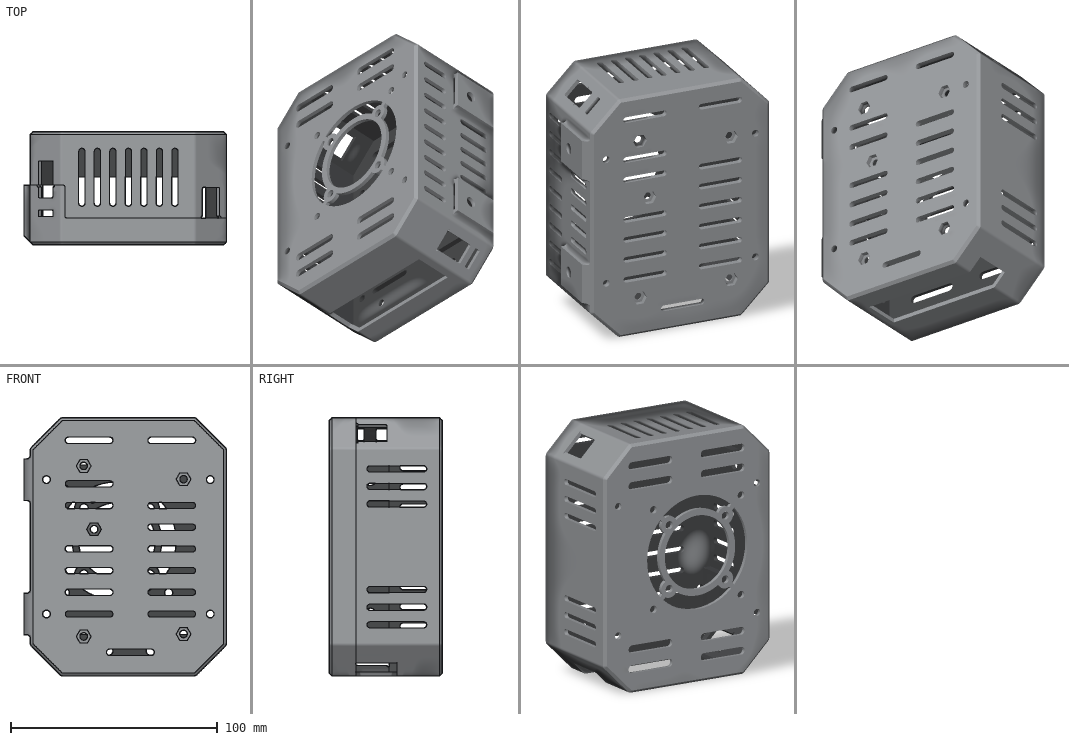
import cadquery as cq
import math

WIDTH = 95.0
HEIGHT = 125.0
DEPTH = 54.8
CORNER = 15.0
CORNER_ROUND = 2.0
WALL = 2.0
FRONT_PLATE = 3.0
EDGE_CHAMFER = 1.4
FRONT = -DEPTH / 2
BACK = DEPTH / 2
LEFT = -WIDTH / 2
RIGHT = WIDTH / 2
BOTTOM = -HEIGHT / 2
TOP = HEIGHT / 2
CORNER_MID_X = RIGHT - CORNER / 2
CORNER_MID_Z = TOP - CORNER / 2

SPLIT_Y = FRONT + 13.0
WING_Y = FRONT + 29.0
WING_EDGE_X = -30.7
WING_ROUND = 1.0

EAR_OUT = 3.0
EAR_LENGTH = 20.2
EAR_Z = 32.5
EAR_ROUND = 1.6
EAR_HOLE_DIAMETER = 5.6
EAR_HOLE_Y = -7.5
EAR_WALL = 2.0
EAR_INNER_X = -41.4
EAR_POCKET_FRONT_Y = FRONT + 6.0

SLOT_WIDTH = 3.0
FRONT_SLOT_LENGTH = 23.0
FRONT_SLOT_PITCH = 10.5
FRONT_SLOT_TOP_Z = 51.5
FRONT_LEFT_SLOT_X = -19.0
FRONT_RIGHT_SLOT_X = 21.0
FRONT_LEFT_ROWS = (0, 2, 3, 5, 6, 7, 8)
FRONT_RIGHT_ROWS = (0, 3, 4, 5, 6, 7, 8)
LOW_SLOT_X = 1.0
LOW_SLOT_Z = -51.0
BASE_SIDE_SLOT_COUNT = 5
BASE_SIDE_SLOT_PITCH = 8.55
BASE_SIDE_SLOT_LENGTH = 18.3
BASE_SIDE_SLOT_Y = -12.4
COVER_LEFT_SLOT_COUNT = 9
COVER_LEFT_SLOT_PITCH = 9.6
COVER_LEFT_SLOT_LENGTH = 15.0
COVER_LEFT_SLOT_Y = 14.4
COVER_RIGHT_SLOT_PITCH = 8.5
COVER_RIGHT_SLOT_LENGTH = 28.8
COVER_RIGHT_SLOT_Y = 5.35
COVER_RIGHT_GROUP_COUNT = 3
COVER_RIGHT_GROUP_Z = 29.2
COVER_TOP_SLOT_COUNT = 7
COVER_TOP_SLOT_PITCH = 7.5
COVER_TOP_SLOT_LENGTH = 28.0
COVER_TOP_SLOT_Y = 5.4
BACK_SLOT_LENGTH = 25.0
BACK_SLOT_LEFT_X = -20.0
BACK_SLOT_RIGHT_X = 21.2
BACK_SLOT_WIDTH = 4.0
BACK_SLOT_ROWS = (51.6, 41.6, -40.4, -50.4)

PLATE_HOLE_DIAMETER = 3.6
PLATE_HOLE_X = 39.6
PLATE_HOLE_Z = 32.5
PLATE_HOLES = [(i * PLATE_HOLE_X, k * PLATE_HOLE_Z) for i in (-1, 1) for k in (-1, 1)]

NUT_POINTS = ((-21.6, 39.1), (26.7, 32.7), (-16.6, 8.5), (-21.6, -43.4), (26.7, -42.2))
NUT_FLATS = 6.2
NUT_DEPTH = 2.5
NUT_HOLE_DIAMETER = 3.6

UPPER_WINDOW_WIDTH = 9.9
LOWER_WINDOW_WIDTH = 10.5
UPPER_WINDOW_FRONT_Y = -4.6
UPPER_WINDOW_BACK_Y = 13.3
UPPER_SLIT_Y = -12.1
LOWER_WINDOW_FRONT_Y = -14.4
LOWER_SLIT_Y = -19.1
SLIT_WIDTH = 3.0
WINDOW_ROUND = 0.8
SLIT_ROUND = 0.3
WINDOW_FLARE = 1.0
NOTCH_WIDTH = 11.7
NOTCH_BACK_Y = 0.5
PORT_BACK_Y = 5.4
PORT_LEFT_X = -28.0
PORT_RIGHT_X = 38.8

LATCH_LENGTH = 26.0
LATCH_THICKNESS = 2.2
LATCH_TIP_THICKNESS = 0.5
LATCH_BOTTOM_Y = -16.4
LATCH_TIP_Y = -11.3

FAN_X = -5.5
FAN_Z = 2.8
FAN_OPENING_RADIUS = 28.6
FAN_HOLE_SPACING = 50.0
FAN_HOLE_DIAMETER = 3.8
RING_OUTER_RADIUS = 21.7
RING_INNER_RADIUS = 18.5
SMALL_FAN_SPACING = 32.0
LUG_DIAMETER = 9.0
LUG_HOLE_DIAMETER = 4.0
SPOKE_WIDTH = 2.5


def facing_back(y):
    """Workplane at depth y whose local axes are X and -Z and whose normal is +Y."""
    return cq.Workplane(cq.Plane(origin=(0, y, 0), xDir=(1, 0, 0), normal=(0, 1, 0)))


def block(x0, x1, y0, y1, z0, z1):
    return cq.Workplane("XY").box(x1 - x0, y1 - y0, z1 - z0, centered=False).translate((x0, y0, z0))


def octagon(inset, y0, y1):
    """Octagonal prism from y0 to y1, set in evenly from the outer walls."""
    prism = block(LEFT + inset, RIGHT - inset, y0, y1, BOTTOM + inset, TOP - inset)
    return prism.edges("|Y").chamfer(CORNER - inset * (2 - math.sqrt(2)))


def plate_slots(points, length, width, y0, thickness):
    """Slots running along X through a front or back plate."""
    slots = facing_back(y0).pushPoints([(x, -z) for x, z in points])
    return slots.slot2D(length, width).extrude(thickness)


def plate_holes(points, diameter, y0, thickness):
    return facing_back(y0).pushPoints([(x, -z) for x, z in points]).circle(diameter / 2).extrude(thickness)


def side_slots(x, y, heights, length):
    """Slots running along Y through the wall whose smallest X is x."""
    slots = cq.Workplane("YZ", origin=(x, 0, 0)).pushPoints([(y, z) for z in heights])
    return slots.slot2D(length, SLOT_WIDTH).extrude(WALL)


def spread(count, pitch, center=0.0):
    return [center + (i - (count - 1) / 2) * pitch for i in range(count)]


def corner_window(side, level, width, y0, y1, corner_round=WINDOW_ROUND):
    """Round-cornered cutter square to a cut corner; side and level are the signs of its X and Z."""
    plane = cq.Plane(
        origin=(side * CORNER_MID_X, (y0 + y1) / 2, level * CORNER_MID_Z),
        xDir=(0, 1, 0),
        normal=(side, 0, level),
    )
    cutter = cq.Workplane(plane).rect(y1 - y0, width).extrude(2 * WALL, both=True)
    return cutter.edges(cq.selectors.ParallelDirSelector(cq.Vector(side, 0, level))).fillet(corner_round)


def corner_slit(level, width, y):
    """Narrow window across a left cut corner, centred on depth y."""
    return corner_window(-1, level, width, y - SLIT_WIDTH / 2, y + SLIT_WIDTH / 2, SLIT_ROUND)


def window_flare(side, level, width, edge_y, inward):
    """Cutter that rounds both rims where a window runs out at edge_y; inward is the Y sign into the body."""
    half = width / 2
    plane = cq.Plane(
        origin=(side * CORNER_MID_X, edge_y, level * CORNER_MID_Z),
        xDir=(0, 1, 0),
        normal=(side, 0, level),
    )
    depth = inward * WINDOW_FLARE
    flare = (
        cq.Workplane(plane)
        .moveTo(0, half + WINDOW_FLARE)
        .radiusArc((depth, half), depth)
        .lineTo(depth, -half)
        .radiusArc((0, -half - WINDOW_FLARE), depth)
        .close()
    )
    return flare.extrude(2 * WALL, both=True)


def make_shell():
    outside = octagon(0, FRONT, BACK).edges("|Y").fillet(CORNER_ROUND)
    outside = outside.faces("<Y or >Y").chamfer(EDGE_CHAMFER)
    return outside.cut(octagon(WALL, FRONT + FRONT_PLATE, BACK - WALL))


def make_base_zone():
    """Region in front of the parting line, with the taller wing on the left."""
    zone = (
        cq.Workplane("XY", origin=(0, 0, BOTTOM))
        .moveTo(LEFT, FRONT)
        .lineTo(RIGHT, FRONT)
        .lineTo(RIGHT, SPLIT_Y)
        .lineTo(WING_EDGE_X, SPLIT_Y)
        .lineTo(WING_EDGE_X, WING_Y)
        .lineTo(LEFT, WING_Y)
        .close()
        .extrude(HEIGHT)
    )
    step = cq.selectors.BoxSelector(
        (WING_EDGE_X - 1, SPLIT_Y - 1, BOTTOM), (WING_EDGE_X + 1, WING_Y + 1, TOP)
    )
    return zone.edges("|Z").edges(step).fillet(WING_ROUND)


def make_ear(z):
    """Raised pad with concave sides and a sloped front that carries on the base's edge chamfer."""
    half = EAR_LENGTH / 2
    profile = (
        cq.Workplane("XZ", origin=(0, WING_Y, 0))
        .moveTo(EAR_INNER_X, z - half)
        .lineTo(LEFT + WALL, z - half)
        .lineTo(LEFT + WALL, z - half - EAR_ROUND)
        .lineTo(LEFT, z - half - EAR_ROUND)
        .radiusArc((LEFT - EAR_ROUND, z - half), -EAR_ROUND)
        .lineTo(LEFT - EAR_OUT, z - half)
        .lineTo(LEFT - EAR_OUT, z + half)
        .lineTo(LEFT - EAR_ROUND, z + half)
        .radiusArc((LEFT, z + half + EAR_ROUND), -EAR_ROUND)
        .lineTo(LEFT + WALL, z + half + EAR_ROUND)
        .lineTo(LEFT + WALL, z + half)
        .lineTo(EAR_INNER_X, z + half)
        .close()
    )
    pad = profile.extrude(WING_Y - FRONT)
    slope = (
        cq.Workplane("XY", origin=(0, 0, BOTTOM))
        .moveTo(LEFT - EAR_OUT, FRONT)
        .lineTo(LEFT - EAR_OUT, FRONT + EDGE_CHAMFER + EAR_OUT)
        .lineTo(LEFT + EDGE_CHAMFER, FRONT)
        .close()
        .extrude(HEIGHT)
    )
    return pad.cut(slope)


def make_ear_pocket(z):
    """Hollow behind an ear, open to the inside and to the parting line."""
    half = EAR_LENGTH / 2 - EAR_WALL
    pocket_x = LEFT - EAR_OUT + EAR_WALL
    return block(pocket_x, EAR_INNER_X, EAR_POCKET_FRONT_Y, WING_Y, z - half, z + half)


def make_latch():
    inner_x = RIGHT - WALL
    profile = (
        cq.Workplane("XY", origin=(0, 0, -LATCH_LENGTH / 2))
        .moveTo(inner_x, LATCH_BOTTOM_Y)
        .lineTo(inner_x - LATCH_THICKNESS, LATCH_BOTTOM_Y)
        .lineTo(inner_x - LATCH_THICKNESS, SPLIT_Y)
        .lineTo(inner_x - LATCH_TIP_THICKNESS, LATCH_TIP_Y)
        .lineTo(inner_x, LATCH_TIP_Y)
        .close()
    )
    return profile.extrude(LATCH_LENGTH)


def make_base(shell):
    base = shell.intersect(make_base_zone())

    for z in (-EAR_Z, EAR_Z):
        base = base.union(make_ear(z)).cut(make_ear_pocket(z))
    ear_holes = (
        cq.Workplane("YZ", origin=(LEFT - EAR_OUT, 0, 0))
        .pushPoints([(EAR_HOLE_Y, -EAR_Z), (EAR_HOLE_Y, EAR_Z)])
        .circle(EAR_HOLE_DIAMETER / 2)
        .extrude(EAR_OUT + WALL)
    )
    base = base.cut(ear_holes)

    base = base.union(make_latch())
    base = base.cut(plate_holes(NUT_POINTS, NUT_HOLE_DIAMETER, FRONT, FRONT_PLATE))
    nuts = facing_back(FRONT).pushPoints([(x, -z) for x, z in NUT_POINTS])
    base = base.cut(nuts.polygon(6, NUT_FLATS / math.cos(math.pi / 6)).extrude(NUT_DEPTH))

    slot_points = [(LOW_SLOT_X, LOW_SLOT_Z)]
    for x, rows in ((FRONT_LEFT_SLOT_X, FRONT_LEFT_ROWS), (FRONT_RIGHT_SLOT_X, FRONT_RIGHT_ROWS)):
        slot_points += [(x, FRONT_SLOT_TOP_Z - row * FRONT_SLOT_PITCH) for row in rows]
    base = base.cut(plate_slots(slot_points, FRONT_SLOT_LENGTH, SLOT_WIDTH, FRONT, FRONT_PLATE))
    base = base.cut(plate_holes(PLATE_HOLES, PLATE_HOLE_DIAMETER, FRONT, FRONT_PLATE))
    heights = spread(BASE_SIDE_SLOT_COUNT, BASE_SIDE_SLOT_PITCH)
    base = base.cut(side_slots(LEFT, BASE_SIDE_SLOT_Y, heights, BASE_SIDE_SLOT_LENGTH))

    base = base.cut(UPPER_WINDOW)
    base = base.cut(corner_slit(1, UPPER_WINDOW_WIDTH, UPPER_SLIT_Y))
    beyond_edge_y = WING_Y + WALL
    base = base.cut(corner_window(-1, -1, LOWER_WINDOW_WIDTH, LOWER_WINDOW_FRONT_Y, beyond_edge_y))
    base = base.cut(corner_slit(-1, LOWER_WINDOW_WIDTH, LOWER_SLIT_Y))
    for level, width in ((1, UPPER_WINDOW_WIDTH), (-1, LOWER_WINDOW_WIDTH)):
        base = base.cut(window_flare(-1, level, width, WING_Y, -1))
    return base


def make_fan_cutters():
    """Cutters for the ring vent (less its lugs and spokes), the centre opening and the screw holes."""
    y0 = BACK - WALL
    center = [(FAN_X, FAN_Z)]
    ring = plate_holes(center, 2 * RING_OUTER_RADIUS, y0, WALL)
    lugs = plate_holes(fan_corners(SMALL_FAN_SPACING), LUG_DIAMETER, y0, WALL)
    vent = plate_holes(center, 2 * FAN_OPENING_RADIUS, y0, WALL).cut(ring).cut(lugs)
    for angle in (45, 135):
        spoke = facing_back(y0).rect(2 * FAN_OPENING_RADIUS, SPOKE_WIDTH).extrude(WALL)
        spoke = spoke.rotate((0, 0, 0), (0, 1, 0), angle).translate((FAN_X, 0, FAN_Z))
        vent = vent.cut(spoke)
    opening = plate_holes(center, 2 * RING_INNER_RADIUS, y0, WALL)
    lug_holes = plate_holes(fan_corners(SMALL_FAN_SPACING), LUG_HOLE_DIAMETER, y0, WALL)
    screw_holes = plate_holes(fan_corners(FAN_HOLE_SPACING), FAN_HOLE_DIAMETER, y0, WALL)
    return vent, opening, lug_holes, screw_holes


def fan_corners(spacing):
    half = spacing / 2
    return [(FAN_X + i * half, FAN_Z + k * half) for i in (-1, 1) for k in (-1, 1)]


def make_cover(shell):
    cover = shell.cut(make_base_zone())

    for cutter in make_fan_cutters():
        cover = cover.cut(cutter)
    back_points = [(x, z) for x in (BACK_SLOT_LEFT_X, BACK_SLOT_RIGHT_X) for z in BACK_SLOT_ROWS]
    cover = cover.cut(plate_slots(back_points, BACK_SLOT_LENGTH, BACK_SLOT_WIDTH, BACK - WALL, WALL))
    cover = cover.cut(plate_holes(PLATE_HOLES, PLATE_HOLE_DIAMETER, BACK - WALL, WALL))

    left_heights = spread(COVER_LEFT_SLOT_COUNT, COVER_LEFT_SLOT_PITCH)
    cover = cover.cut(side_slots(LEFT, COVER_LEFT_SLOT_Y, left_heights, COVER_LEFT_SLOT_LENGTH))
    for group_z in (-COVER_RIGHT_GROUP_Z, COVER_RIGHT_GROUP_Z):
        heights = spread(COVER_RIGHT_GROUP_COUNT, COVER_RIGHT_SLOT_PITCH, group_z)
        cover = cover.cut(side_slots(RIGHT - WALL, COVER_RIGHT_SLOT_Y, heights, COVER_RIGHT_SLOT_LENGTH))
    top_slots = (
        cq.Workplane("XY", origin=(0, 0, TOP - WALL))
        .pushPoints([(x, COVER_TOP_SLOT_Y) for x in spread(COVER_TOP_SLOT_COUNT, COVER_TOP_SLOT_PITCH)])
        .slot2D(COVER_TOP_SLOT_LENGTH, SLOT_WIDTH, 90)
        .extrude(WALL)
    )
    cover = cover.cut(top_slots)

    cover = cover.cut(UPPER_WINDOW)
    cover = cover.cut(corner_window(1, 1, NOTCH_WIDTH, SPLIT_Y - WALL, NOTCH_BACK_Y))
    cover = cover.cut(window_flare(1, 1, NOTCH_WIDTH, SPLIT_Y, 1))
    return cover.cut(make_port())


def make_port():
    """Wide connector opening in the bottom wall, carried partly up the right cut corner."""
    rise = PORT_RIGHT_X - (RIGHT - CORNER)
    port = (
        cq.Workplane("XZ", origin=(0, PORT_BACK_Y, 0))
        .moveTo(PORT_LEFT_X, BOTTOM)
        .lineTo(RIGHT - CORNER, BOTTOM)
        .lineTo(PORT_RIGHT_X, BOTTOM + rise)
        .lineTo(PORT_RIGHT_X - 2 * WALL, BOTTOM + rise + 2 * WALL)
        .lineTo(PORT_LEFT_X, BOTTOM + rise + 2 * WALL)
        .close()
    )
    return port.extrude(PORT_BACK_Y - SPLIT_Y)


UPPER_WINDOW = corner_window(-1, 1, UPPER_WINDOW_WIDTH, UPPER_WINDOW_FRONT_Y, UPPER_WINDOW_BACK_Y)

housing_shell = make_shell()
base_body = make_base(housing_shell)
cover_body = make_cover(housing_shell)
result = cq.Compound.makeCompound([base_body.val(), cover_body.val()])